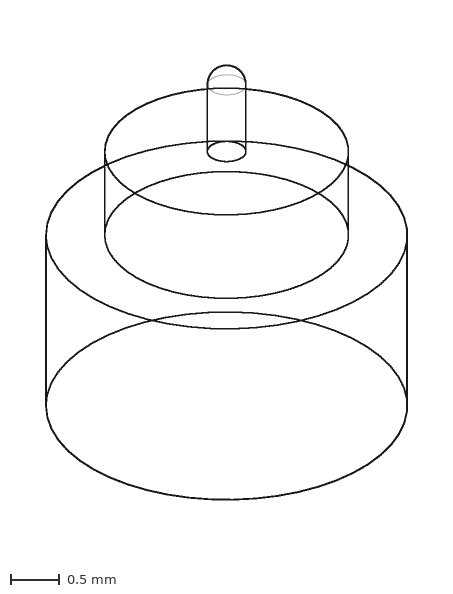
import cadquery as cq

body_diameter = 3.7
body_height = 2.05
collar_diameter = 2.5
collar_height = 1.0
pin_diameter = 0.395
pin_height = 1.0
dome_radius = pin_diameter / 2

collar_base = body_height
pin_base = collar_base + collar_height
shank_height = pin_height - dome_radius
dome_center = pin_base + shank_height


def cylinder(diameter, height, base):
    """Solid cylinder on the Z axis, standing on the given level."""
    return cq.Workplane("XY", origin=(0, 0, base)).circle(diameter / 2).extrude(height)


body = cylinder(body_diameter, body_height, 0)
collar = cylinder(collar_diameter, collar_height, collar_base)
shank = cylinder(pin_diameter, shank_height, pin_base)

dome = cq.Workplane("XY", origin=(0, 0, dome_center)).sphere(dome_radius)

result = body.union(collar).union(shank).union(dome)